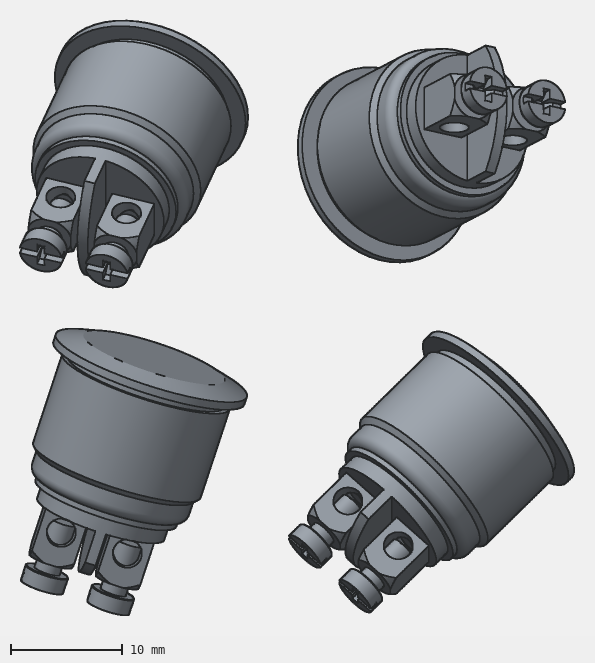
import cadquery as cq

CAP_DIA = 18.0
CROWN_DIA = 13.3
CROWN_DEPTH = 0.75
CAP_END = 1.5
RELIEF_DIA = 14.8
RELIEF_END = 2.3
BODY_DIA = 15.8
BODY_END = 10.8
REAR_END = 13.5
REAR_FILLET = 0.92
RING_DIA = 13.3
RING_END = 14.0
BASE_DIA = 12.0
BASE_END = 15.5

BLADE_THICKNESS = 1.0
BLADE_SHOULDER = 18.5

TERMINAL_OFFSET = 3.1
BLOCK_SIZE = 3.98
BLOCK_END = 20.5
BLOCK_FACE_DIA = 4.15
WIRE_HOLE_DIA = 2.6
WIRE_HOLE_DEPTH = 17.39
PILOT_DIA = 2.1
PILOT_START = 16.0

SHANK_DIA = 2.4
SHANK_START = 16.8
HEAD_DIA = 4.0
HEAD_START = 21.5
HEAD_END = 23.0
HEAD_BEVEL = 0.07
SLOT_WIDTH = 0.7
SLOT_DEPTH = 0.75
CROSS_SPAN = 2.4
CROSS_FLOOR_SPAN = 1.01
CROSS_WALL_DEPTH = 0.7

OVERLAP = 0.23


def rod(diameter, start, end, x=0):
    """Round bar along Y between two depths."""
    return cq.Workplane("XZ", origin=(x, -start, 0)).circle(diameter / 2).extrude(end - start)


def block(x_size, z_size, start, end, x=0):
    """Rectangular bar along Y between two depths."""
    return cq.Workplane("XZ", origin=(x, -start, 0)).rect(x_size, z_size).extrude(end - start)


def make_body():
    rear_bevel = (BODY_DIA - RELIEF_DIA) / 2
    outline = [
        (0, 0),
        (CROWN_DIA / 2, 0),
        (CAP_DIA / 2, -CROWN_DEPTH),
        (CAP_DIA / 2, -CAP_END),
        (RELIEF_DIA / 2, -CAP_END),
        (RELIEF_DIA / 2, -RELIEF_END),
        (BODY_DIA / 2, -RELIEF_END),
        (BODY_DIA / 2, -BODY_END),
        (RELIEF_DIA / 2, -BODY_END - rear_bevel),
        (RELIEF_DIA / 2, -REAR_END),
        (0, -REAR_END),
    ]
    body = cq.Workplane("XY").polyline(outline).close().revolve(360, (0, 0), (0, 1))
    body = body.faces("<Y").edges().fillet(REAR_FILLET)
    ring = rod(RING_DIA, REAR_END - OVERLAP, RING_END)
    base = rod(BASE_DIA, RING_END - OVERLAP, BASE_END)
    return body.union(ring).union(base)


def make_blade():
    half_height = BASE_DIA / 2
    return (
        cq.Workplane("YZ", origin=(-BLADE_THICKNESS / 2, 0, 0))
        .moveTo(-BASE_END, -half_height)
        .lineTo(-BLADE_SHOULDER, -half_height)
        .threePointArc((-BLOCK_END, 0), (-BLADE_SHOULDER, half_height))
        .lineTo(-BASE_END, half_height)
        .close()
        .extrude(BLADE_THICKNESS)
        .intersect(rod(BASE_DIA, BASE_END, BLOCK_END))
    )


def make_terminal_block(x):
    body = block(BLOCK_SIZE, BLOCK_SIZE, BASE_END, BLOCK_END, x)
    envelope_dia = 2 * BLOCK_SIZE
    envelope = rod(envelope_dia, BASE_END, BLOCK_END, x)
    envelope = envelope.faces("<Y").chamfer((envelope_dia - BLOCK_FACE_DIA) / 2)
    hole = (
        cq.Workplane("XY", origin=(x, -WIRE_HOLE_DEPTH, -BLOCK_SIZE / 2))
        .circle(WIRE_HOLE_DIA / 2)
        .extrude(BLOCK_SIZE)
    )
    pilot = rod(PILOT_DIA, PILOT_START, WIRE_HOLE_DEPTH, x)
    return body.intersect(envelope).cut(hole).cut(pilot)


def make_screw(x):
    shank = rod(SHANK_DIA, SHANK_START, HEAD_START + OVERLAP, x)
    head = rod(HEAD_DIA, HEAD_START, HEAD_END, x).faces(">Y").chamfer(HEAD_BEVEL)
    return shank.union(head)


def make_driver_recess(x):
    """Straight slot plus a cross whose arms end in 45 degree ramps."""
    slot = block(HEAD_DIA, SLOT_WIDTH, HEAD_END - SLOT_DEPTH, HEAD_END, x)
    ramp = (CROSS_SPAN - CROSS_FLOOR_SPAN) / 2
    ramp_y = CROSS_WALL_DEPTH - HEAD_END
    arm_outline = [
        (-CROSS_SPAN / 2, -HEAD_END),
        (CROSS_SPAN / 2, -HEAD_END),
        (CROSS_SPAN / 2, ramp_y),
        (CROSS_FLOOR_SPAN / 2, ramp_y + ramp),
        (-CROSS_FLOOR_SPAN / 2, ramp_y + ramp),
        (-CROSS_SPAN / 2, ramp_y),
    ]
    arm = (
        cq.Workplane("XY", origin=(x, 0, -SLOT_WIDTH / 2))
        .polyline(arm_outline)
        .close()
        .extrude(SLOT_WIDTH)
    )
    upright_arm = arm.rotate((x, 0, 0), (x, 1, 0), 90)
    return slot.union(arm).union(upright_arm)


result = make_body().union(make_blade())
for side in (-1, 1):
    terminal_x = side * TERMINAL_OFFSET
    result = result.union(make_terminal_block(terminal_x)).union(make_screw(terminal_x))
    result = result.cut(make_driver_recess(terminal_x))